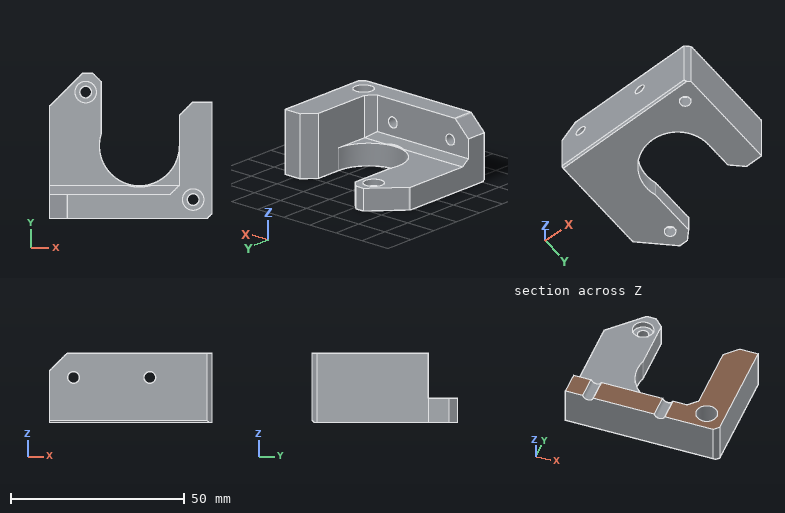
import cadquery as cq

LENGTH = 47.0
DEPTH = 42.0
HEIGHT = 20.0

FLOOR_THICKNESS = 7.0
WALL_THICKNESS = 7.0
ARM_INNER_X = 37.5
ARM_END_Y = 33.6
ARM_CHAMFER = 3.8
WALL_CHAMFER = 5.2

FOOT_INNER_X = 15.0
FOOT_INNER_CHAMFER = 2.5
FOOT_OUTER_CHAMFER = 9.6

BEVEL_RUN = 0.3
BEVEL_RISE = 0.2

BORE_RADIUS = 11.5
BORE_X = ARM_INNER_X - BORE_RADIUS
BORE_Y = 21.0
FILLER_CLEARANCE_RADIUS = 11.9

FILLER_REACH = 2.6
FLOOR_FILLER_HEIGHT = 1.8

CORNER_CHAMFER = 1.5
BOTTOM_CHAMFER = 0.6

SCREW_DIAMETER = 3.3
HEAD_DIAMETER = 6.2
FOOT_SCREW = (10.5, 36.5)
CORNER_SCREW = (41.5, 5.5)
HEAD_SEAT_Z = 5.0
WALL_HOLE_X = (7.0, 29.0)
WALL_HOLE_Z = 13.0


def make_floor():
    """Floor plate with the chamfered foot at its back left."""
    bevel_y = DEPTH - FOOT_OUTER_CHAMFER + BEVEL_RUN
    outline = [
        (0, 0),
        (LENGTH, 0),
        (LENGTH, BORE_Y),
        (FOOT_INNER_X, BORE_Y),
        (FOOT_INNER_X, DEPTH - FOOT_INNER_CHAMFER),
        (FOOT_INNER_X - FOOT_INNER_CHAMFER, DEPTH),
        (FOOT_OUTER_CHAMFER, DEPTH),
        (BEVEL_RUN, bevel_y),
        (0, bevel_y - BEVEL_RISE),
    ]
    return cq.Workplane("XY").polyline(outline).close().extrude(FLOOR_THICKNESS)


def make_wall():
    """Front wall with its upper left corner cut off."""
    bevel_x = WALL_CHAMFER - BEVEL_RUN
    bevel_z = HEIGHT - BEVEL_RISE
    outline = [
        (0, 0),
        (LENGTH, 0),
        (LENGTH, HEIGHT),
        (WALL_CHAMFER, HEIGHT),
        (bevel_x, bevel_z),
        (0, bevel_z - bevel_x),
    ]
    return cq.Workplane("XZ").polyline(outline).close().extrude(-WALL_THICKNESS)


def make_arm():
    """Full-height arm along the right side."""
    outline = [
        (ARM_INNER_X, 0),
        (LENGTH, 0),
        (LENGTH, ARM_END_Y),
        (ARM_INNER_X + ARM_CHAMFER, ARM_END_Y),
        (ARM_INNER_X, ARM_END_Y - ARM_CHAMFER),
    ]
    return cq.Workplane("XY").polyline(outline).close().extrude(HEIGHT)


def make_floor_filler():
    """Sloped filler between floor and wall, relieved around the bore."""
    outline = [
        (WALL_THICKNESS, FLOOR_THICKNESS),
        (WALL_THICKNESS + FILLER_REACH, FLOOR_THICKNESS),
        (WALL_THICKNESS, FLOOR_THICKNESS + FLOOR_FILLER_HEIGHT),
    ]
    filler = cq.Workplane("YZ").polyline(outline).close().extrude(ARM_INNER_X)
    return filler.cut(make_cylinder(BORE_X, BORE_Y, FILLER_CLEARANCE_RADIUS))


def make_corner_filler():
    """Upright triangular filler between wall and arm."""
    outline = [
        (ARM_INNER_X, WALL_THICKNESS),
        (ARM_INNER_X, WALL_THICKNESS + FILLER_REACH),
        (ARM_INNER_X - FILLER_REACH, WALL_THICKNESS),
    ]
    return cq.Workplane("XY").polyline(outline).close().extrude(HEIGHT)


def make_cylinder(x, y, radius, bottom=0.0):
    """Upright cylinder from the given level to the top of the part."""
    return cq.Workplane("XY", origin=(x, y, bottom)).circle(radius).extrude(HEIGHT - bottom)


def cut_screw(body, position):
    """Through hole, counterbored from above down to the screw head seat."""
    x, y = position
    body = body.cut(make_cylinder(x, y, SCREW_DIAMETER / 2))
    return body.cut(make_cylinder(x, y, HEAD_DIAMETER / 2, HEAD_SEAT_Z))


def cut_wall_holes(body):
    """Cross holes through the front wall."""
    for x in WALL_HOLE_X:
        plane = cq.Workplane("XZ", origin=(x, 0, WALL_HOLE_Z))
        body = body.cut(plane.circle(SCREW_DIAMETER / 2).extrude(-WALL_THICKNESS))
    return body


def cut_edge_chamfers(body):
    """Chamfers on the front right upright edge and the front bottom edge."""
    corner = [(LENGTH - CORNER_CHAMFER, 0), (LENGTH, 0), (LENGTH, CORNER_CHAMFER)]
    body = body.cut(cq.Workplane("XY").polyline(corner).close().extrude(HEIGHT))
    bottom = [(0, 0), (BOTTOM_CHAMFER, 0), (0, BOTTOM_CHAMFER)]
    return body.cut(cq.Workplane("YZ").polyline(bottom).close().extrude(LENGTH))


body = make_floor().cut(make_cylinder(BORE_X, BORE_Y, BORE_RADIUS))
body = body.union(make_wall()).union(make_arm())
body = body.union(make_floor_filler()).union(make_corner_filler())
body = cut_screw(body, FOOT_SCREW)
body = cut_screw(body, CORNER_SCREW)
body = cut_wall_holes(body)
result = cut_edge_chamfers(body)